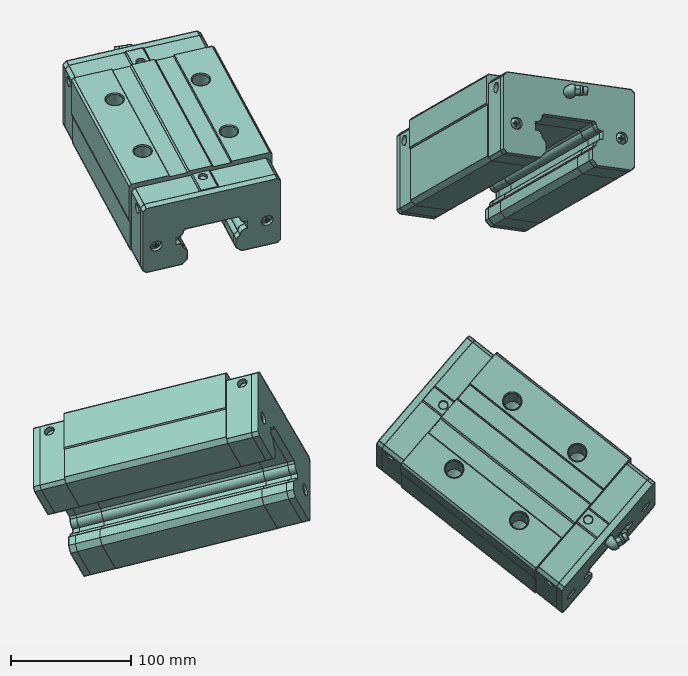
import cadquery as cq
import math

block_length = 144.0
cap_end_x = 94.0
seal_end_x = 100.0
cap_length = cap_end_x - block_length / 2
seal_thickness = seal_end_x - cap_end_x
cut_margin = 1.0

block_height = 75.0
block_half_width = 63.0
side_relief = 1.0
relief_start_left = 49.5
relief_start_right = 35.5
block_top_chamfer = 2.0
block_bottom_chamfer = 4.0
groove_depth = 1.4
groove_inner_y = 10.0
groove_outer_y = 27.6
groove_outer_slope = 0.7

mount_pitch_x = 70.0
mount_pitch_y = 76.0
mount_diameter = 14.3
mount_mouth_diameter = 16.1
mount_depth = 25.0
drill_point_angle = 118.0

cap_height = 70.0
cap_half_width = 60.8
cap_top_chamfer = 3.2
cap_bottom_chamfer = 3.0

pad_height = 0.9
pad_base_half_width = 8.6
pad_top_half_width = 7.3
pad_port_x = 78.0
pad_port_diameter = 7.6
pad_port_depth = 2.7
side_port_x = 85.8
side_port_z = 59.7
side_port_diameter = 8.5
side_port_depth = 5.0

opening_bottom_chamfer = 4.8
throat_half_width = 21.5
lip_half_width = 25.0
lip_radius = 5.7
waist_half_width = 31.3
waist_mid_z = 26.8
waist_half_height = 3.6
opening_top_z = 37.9

screw_y = 48.9
screw_z = 26.6
screw_diameter = 10.2
screw_edge_depth = 3.2
screw_crown_depth = 0.6
cross_length = 4.6
cross_width = 1.0
cross_depth = 1.5

nipple_z = 60.0
elbow_radius = 5.3
elbow_length = 5.9
elbow_flat_y = -3.8
branch_angle = 19.0
branch_start = 1.8
hex_end = 6.2
hex_circumradius = 4.4
collar_end = 8.1
collar_radius = 4.1
cone_start = 8.8
cone_start_radius = 3.7
branch_length = 12.55
tip_radius = 3.3
tip_hole_diameter = 1.6
tip_hole_depth = 3.0


def extrude_along_x(points, x_start, length):
    """Closed (y, z) polygon extruded from x_start toward +X."""
    return cq.Workplane("YZ", origin=(x_start, 0, 0)).polyline(points).close().extrude(length)


def rail_opening():
    """Rail passage through the whole carriage, symmetric about y = 0."""
    lip_center_y = lip_half_width + lip_radius
    lip_middle_offset = lip_radius * math.sqrt(0.5)
    lip_middle_y = lip_center_y - lip_middle_offset
    waist_bottom_z = waist_mid_z - waist_half_height
    waist_top_z = waist_mid_z + waist_half_height
    lower_lip_z = waist_bottom_z - lip_radius
    upper_lip_z = waist_top_z + lip_radius
    throat_top_z = lower_lip_z - (lip_half_width - throat_half_width)
    roof_half_width = lip_half_width - (opening_top_z - upper_lip_z)

    half = (
        cq.Workplane("YZ", origin=(-seal_end_x - cut_margin, 0, 0))
        .moveTo(0, -cut_margin)
        .lineTo(throat_half_width + opening_bottom_chamfer + cut_margin, -cut_margin)
        .lineTo(throat_half_width, opening_bottom_chamfer)
        .lineTo(throat_half_width, throat_top_z)
        .lineTo(lip_half_width, lower_lip_z)
        .threePointArc((lip_middle_y, lower_lip_z + lip_middle_offset), (lip_center_y, waist_bottom_z))
        .lineTo(waist_half_width, waist_bottom_z)
        .lineTo(waist_half_width, waist_top_z)
        .lineTo(lip_center_y, waist_top_z)
        .threePointArc((lip_middle_y, upper_lip_z - lip_middle_offset), (lip_half_width, upper_lip_z))
        .lineTo(roof_half_width, opening_top_z)
        .lineTo(0, opening_top_z)
        .close()
        .extrude(2 * (seal_end_x + cut_margin))
    )
    return half.union(half.mirror("XZ"))


def mounting_hole(x, y):
    """Blind drilled hole with a countersunk mouth and a conical bottom."""
    radius = mount_diameter / 2
    mouth_radius = mount_mouth_diameter / 2
    point_height = radius / math.tan(math.radians(drill_point_angle / 2))
    profile = [
        (0, 0),
        (mouth_radius, 0),
        (radius, radius - mouth_radius),
        (radius, -mount_depth),
        (0, -mount_depth - point_height),
    ]
    hole = cq.Workplane("XZ").polyline(profile).close().revolve(360, (0, 0), (0, 1))
    return hole.translate((x, y, block_height))


def make_block(opening):
    relieved_half_width = block_half_width - side_relief
    foot_half_width = relieved_half_width - block_bottom_chamfer
    top_half_width = block_half_width - block_top_chamfer
    shoulder_z = block_height - block_top_chamfer
    groove_z = block_height - groove_depth
    outline = [
        (-foot_half_width, 0),
        (foot_half_width, 0),
        (relieved_half_width, block_bottom_chamfer),
        (relieved_half_width, relief_start_left - side_relief),
        (block_half_width, relief_start_left),
        (block_half_width, shoulder_z),
        (top_half_width, block_height),
        (-top_half_width, block_height),
        (-block_half_width, shoulder_z),
        (-block_half_width, relief_start_right),
        (-relieved_half_width, relief_start_right - side_relief),
        (-relieved_half_width, block_bottom_chamfer),
    ]
    block = extrude_along_x(outline, -block_length / 2, block_length).cut(opening)
    for side in (-1, 1):
        groove = [
            (side * groove_inner_y, block_height),
            (side * (groove_inner_y + groove_depth), groove_z),
            (side * (groove_outer_y - groove_outer_slope), groove_z),
            (side * groove_outer_y, block_height),
        ]
        block = block.cut(extrude_along_x(groove, -block_length / 2, block_length))
        for end in (-1, 1):
            block = block.cut(mounting_hole(end * mount_pitch_x / 2, side * mount_pitch_y / 2))
    return block


def end_profile(x_start, length):
    """Chamfered rectangle shared by the end caps and the end seals."""
    foot_half_width = cap_half_width - cap_bottom_chamfer
    top_half_width = cap_half_width - cap_top_chamfer
    shoulder_z = cap_height - cap_top_chamfer
    outline = [
        (-foot_half_width, 0),
        (foot_half_width, 0),
        (cap_half_width, cap_bottom_chamfer),
        (cap_half_width, shoulder_z),
        (top_half_width, cap_height),
        (-top_half_width, cap_height),
        (-cap_half_width, shoulder_z),
        (-cap_half_width, cap_bottom_chamfer),
    ]
    return extrude_along_x(outline, x_start, length)


def make_end_cap(end, opening):
    """Cap at the -X end (end = -1) or the +X end (end = 1) of the block."""
    x_start = min(end * block_length / 2, end * cap_end_x)
    pad_outline = [
        (-pad_base_half_width, cap_height),
        (pad_base_half_width, cap_height),
        (pad_top_half_width, cap_height + pad_height),
        (-pad_top_half_width, cap_height + pad_height),
    ]
    pad = extrude_along_x(pad_outline, x_start, cap_length)
    cap = end_profile(x_start, cap_length).cut(opening).union(pad)

    pad_top_z = cap_height + pad_height
    pad_port = (
        cq.Workplane("XY", origin=(end * pad_port_x, 0, pad_top_z))
        .circle(pad_port_diameter / 2)
        .extrude(-pad_port_depth)
    )
    cap = cap.cut(pad_port)
    for side in (-1, 1):
        side_port = (
            cq.Workplane("XZ", origin=(end * side_port_x, side * cap_half_width, side_port_z))
            .circle(side_port_diameter / 2)
            .extrude(side * side_port_depth)
        )
        cap = cap.cut(side_port)
    return cap


def make_end_seal(end, opening):
    """Plate outside a cap, bored through for its two screws."""
    x_start = min(end * cap_end_x, end * seal_end_x)
    seal = end_profile(x_start, seal_thickness).cut(opening)
    for side in (-1, 1):
        bore = (
            cq.Workplane("YZ", origin=(x_start, side * screw_y, screw_z))
            .circle(screw_diameter / 2)
            .extrude(seal_thickness)
        )
        seal = seal.cut(bore)
    return seal


def make_screw(end, side):
    """Domed cross-recess head sunk in the seal bore."""
    radius = screw_diameter / 2
    edge_height = seal_thickness - screw_edge_depth
    crown_height = seal_thickness - screw_crown_depth
    dome_rise = crown_height - edge_height
    dome_radius = (radius**2 + dome_rise**2) / (2 * dome_rise)
    dome_center = crown_height - dome_radius
    half_angle = math.asin(radius / dome_radius) / 2
    dome_middle = (
        dome_radius * math.sin(half_angle),
        dome_center + dome_radius * math.cos(half_angle),
    )
    screw = (
        cq.Workplane("XZ")
        .lineTo(radius, 0)
        .lineTo(radius, edge_height)
        .threePointArc(dome_middle, (0, crown_height))
        .close()
        .revolve(360, (0, 0), (0, 1))
    )
    cross = cq.Workplane("XY")
    for size_x, size_y in ((cross_length, cross_width), (cross_width, cross_length)):
        slot = cq.Workplane("XY").rect(size_x, size_y).extrude(cross_depth)
        cross = cross.add(slot)
    cross = cross.combine().translate((0, 0, crown_height - cross_depth))
    screw = screw.cut(cross).rotate((0, 0, 0), (0, 1, 0), end * 90)
    return screw.translate((end * cap_end_x, side * screw_y, screw_z))


def make_nipple():
    """Angled grease nipple: ball-ended elbow with a stepped branch."""
    elbow_x = -seal_end_x - elbow_length
    stub = cq.Workplane("YZ").circle(elbow_radius).extrude(elbow_length)
    elbow = stub.union(cq.Workplane("XY").sphere(elbow_radius))
    flat_cut = cq.Workplane("XY").box(
        elbow_length, elbow_radius, 2 * elbow_radius, centered=(False, False, True)
    ).translate((0, elbow_flat_y - elbow_radius, 0))
    elbow = elbow.cut(flat_cut)

    angle = math.radians(branch_angle)
    axis = cq.Vector(-math.sin(angle), -math.cos(angle), 0)
    across = cq.Vector(math.cos(angle), -math.sin(angle), 0)
    branch_plane = cq.Plane(origin=axis * branch_start, xDir=across, normal=axis)
    face_cut = cq.Workplane(branch_plane).circle(2 * elbow_radius).extrude(elbow_radius)
    elbow = elbow.cut(face_cut)

    hexagon = (
        cq.Workplane(branch_plane)
        .polygon(6, 2 * hex_circumradius)
        .extrude(hex_end - branch_start)
    )
    fitting_profile = [
        (0, branch_start),
        (tip_radius, branch_start),
        (tip_radius, hex_end),
        (collar_radius, hex_end),
        (collar_radius, collar_end),
        (cone_start_radius, cone_start),
        (tip_radius, branch_length),
        (tip_hole_diameter / 2, branch_length),
        (tip_hole_diameter / 2, branch_length - tip_hole_depth),
        (0, branch_length - tip_hole_depth),
    ]
    axis_plane = cq.Plane(origin=(0, 0, 0), xDir=across, normal=across.cross(axis))
    fitting = cq.Workplane(axis_plane).polyline(fitting_profile).close().revolve(360, (0, 0), (0, 1))
    return elbow.union(hexagon).union(fitting).translate((elbow_x, 0, nipple_z))


rail_passage = rail_opening()
bodies = [make_block(rail_passage).val(), make_nipple().val()]
for end in (-1, 1):
    bodies.append(make_end_cap(end, rail_passage).val())
    bodies.append(make_end_seal(end, rail_passage).val())
    for side in (-1, 1):
        bodies.append(make_screw(end, side).val())

result = cq.Compound.makeCompound(bodies)